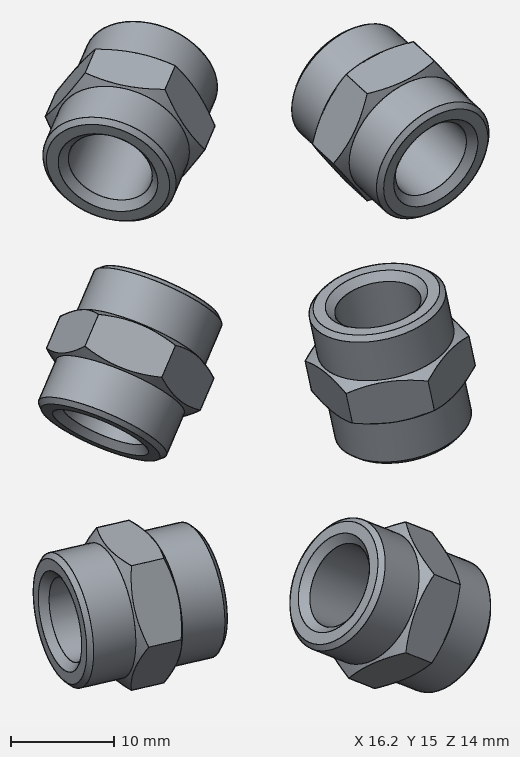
import cadquery as cq
import math

corner_diameter = 16.17
length = 15.0
hex_width = 5.0
body_diameter = 13.5
bore_diameter = 8.5
mouth_diameter = 10.09
end_chamfer = 0.5
hex_bevel_angle = 30.0
mouth_angle = 45.0

corner_radius = corner_diameter / 2
body_radius = body_diameter / 2
bore_radius = bore_diameter / 2
mouth_radius = mouth_diameter / 2
half_length = length / 2
half_hex = hex_width / 2
bevel_depth = (corner_radius - body_radius) * math.tan(math.radians(hex_bevel_angle))
mouth_depth = (mouth_radius - bore_radius) / math.tan(math.radians(mouth_angle))


def revolve_about_y(points):
    """Turn a closed (radius, y) profile around the Y axis."""
    return cq.Workplane("XY").polyline(points).close().revolve(360, (0, 0, 0), (0, 1, 0))


def make_body():
    """Cylinder with a chamfer on both ends."""
    cylinder = cq.Workplane("XZ").circle(body_radius).extrude(half_length, both=True)
    return cylinder.faces("<Y or >Y").chamfer(end_chamfer)


def make_hexagon():
    """Central hexagon, corners on the X axis, bevelled by a cone on each side."""
    prism = cq.Workplane("XZ").polygon(6, corner_diameter).extrude(half_hex, both=True)
    bevel_envelope = revolve_about_y([
        (0, -half_hex),
        (body_radius, -half_hex),
        (corner_radius, -half_hex + bevel_depth),
        (corner_radius, half_hex - bevel_depth),
        (body_radius, half_hex),
        (0, half_hex),
    ])
    return prism.intersect(bevel_envelope)


def make_bore():
    """Through bore with a conical mouth at each end."""
    return revolve_about_y([
        (0, -half_length),
        (mouth_radius, -half_length),
        (bore_radius, -half_length + mouth_depth),
        (bore_radius, half_length - mouth_depth),
        (mouth_radius, half_length),
        (0, half_length),
    ])


result = make_body().union(make_hexagon()).cut(make_bore())